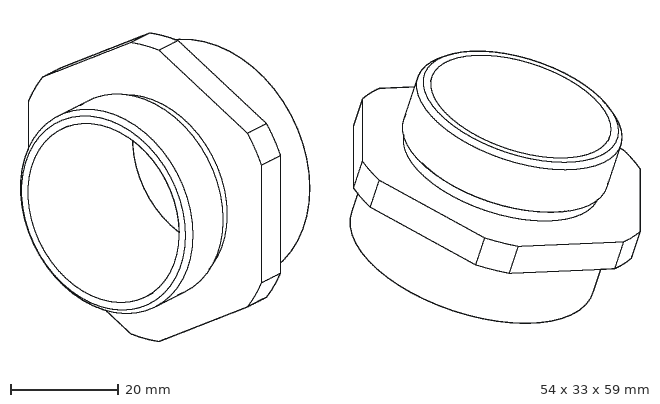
import cadquery as cq

bore_diameter = 35.0

front_diameter = 40.0
front_length = 13.05
front_chamfer = 1.0

groove_diameter = 38.15
groove_width = 2.0
groove_depth = (front_diameter - groove_diameter) / 2
groove_taper_length = 0.55

hex_across_flats = 54.0
hex_corner_diameter = 58.95
hex_thickness = 6.0

rear_diameter = 47.5
total_length = 33.0
rear_length = total_length - front_length - hex_thickness
rear_fillet = 0.5


def cylinder(diameter, start, length):
    """Solid cylinder along +Y, starting at Y = start."""
    plane = cq.Workplane("XZ", origin=(0, start, 0))
    return plane.circle(diameter / 2).extrude(-length)


def front_spigot():
    """Front spigot with a chamfered end and a relief groove next to the hexagon."""
    outer = front_diameter / 2
    inner = outer - groove_depth
    groove_start = front_length - groove_width
    profile = (
        cq.Workplane("XY")
        .moveTo(0, 0)
        .lineTo(outer - front_chamfer, 0)
        .lineTo(outer, front_chamfer)
        .lineTo(outer, groove_start - groove_taper_length)
        .lineTo(inner, groove_start)
        .lineTo(inner, front_length)
        .lineTo(0, front_length)
        .close()
    )
    return profile.revolve(360, (0, 0, 0), (0, 1, 0))


def hex_flange():
    """Hexagon with two flats facing +X and -X and its corners turned round."""
    flange = cylinder(hex_corner_diameter, front_length, hex_thickness)
    flats = (
        cq.Workplane("XZ", origin=(0, front_length, 0))
        .polygon(6, hex_across_flats, circumscribed=True)
        .extrude(-hex_thickness)
    )
    return flange.intersect(flats)


def rear_collar():
    """Plain rear collar with a small fillet round its outer end."""
    collar = cylinder(rear_diameter, front_length + hex_thickness, rear_length)
    return collar.faces(">Y").edges().fillet(rear_fillet)


body = front_spigot().union(hex_flange()).union(rear_collar())
result = body.cut(cylinder(bore_diameter, 0, total_length))